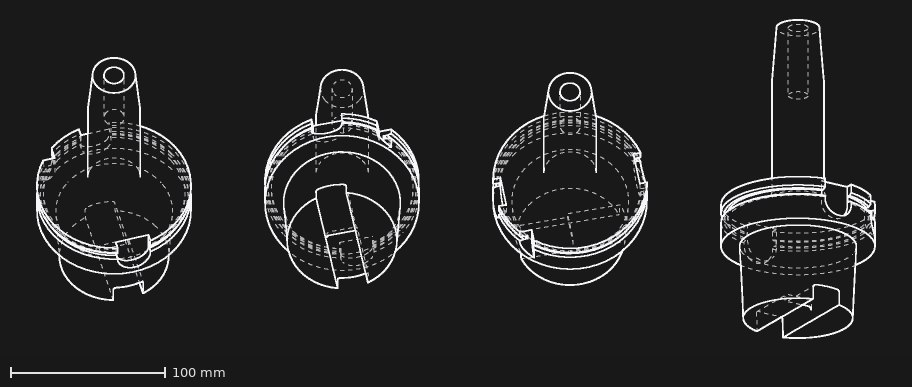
import cadquery as cq
import math


shank_length = 50.0
shank_top_radius = 37.9
shank_bottom_radius = 35.6

flange_radius = 50.0
flange_height = 29.0
groove_center_z = 19.9
groove_floor_radius = 46.0
groove_shoulder_radius = 48.0
groove_floor_width = 4.0
groove_mouth_width = 6.6

neck_radius = 17.0
neck_fillet = 10.0
nose_top_z = 152.4
nose_length = 38.0
nose_half_angle = 4.5
bore_diameter = 13.0
bore_depth = 47.0

slot_width = 20.0
wide_slot_width = 22.0
slot_bottom_z = 5.0
slot_floor_x = 44.0
index_notch_offset = 31.2

keyway_width = 20.0
keyway_height = 10.0
deep_keyway_height = 15.0
keyway_corner_radius = 2.0


def body():
    """Revolve the outer outline of the holder about Z."""
    nose_bottom_z = nose_top_z - nose_length
    nose_top_radius = neck_radius - nose_length * math.tan(math.radians(nose_half_angle))
    fillet_foot_radius = neck_radius + neck_fillet
    fillet_top_z = flange_height + neck_fillet
    arc_reach = neck_fillet * (1 - math.sqrt(0.5))
    half_floor = groove_floor_width / 2
    half_mouth = groove_mouth_width / 2
    outline = (
        cq.Workplane("YZ")
        .moveTo(0, -shank_length)
        .lineTo(shank_bottom_radius, -shank_length)
        .lineTo(shank_top_radius, 0)
        .lineTo(flange_radius, 0)
        .lineTo(flange_radius, groove_center_z - half_mouth)
        .lineTo(groove_shoulder_radius, groove_center_z - half_floor)
        .lineTo(groove_floor_radius, groove_center_z - half_floor)
        .lineTo(groove_floor_radius, groove_center_z + half_floor)
        .lineTo(groove_shoulder_radius, groove_center_z + half_floor)
        .lineTo(flange_radius, groove_center_z + half_mouth)
        .lineTo(flange_radius, flange_height)
        .lineTo(fillet_foot_radius, flange_height)
        .threePointArc(
            (neck_radius + arc_reach, flange_height + arc_reach),
            (neck_radius, fillet_top_z),
        )
        .lineTo(neck_radius, nose_bottom_z)
        .lineTo(nose_top_radius, nose_top_z)
        .lineTo(0, nose_top_z)
        .close()
    )
    return outline.revolve(360, (0, 0, 0), (0, 1, 0))


def tool_bore():
    """Blind bore from the nose end."""
    return (
        cq.Workplane("XY", origin=(0, 0, nose_top_z - bore_depth))
        .circle(bore_diameter / 2)
        .extrude(bore_depth)
    )


def flange_slot(width, center_y, floor_x, side):
    """Round-bottomed slot open at the flange top, from floor_x outward on one X side."""
    radius = width / 2
    arc_center_z = slot_bottom_z + radius
    profile = (
        cq.Workplane("YZ", origin=(side * floor_x, 0, 0))
        .moveTo(center_y - radius, flange_height)
        .lineTo(center_y - radius, arc_center_z)
        .threePointArc((center_y, slot_bottom_z), (center_y + radius, arc_center_z))
        .lineTo(center_y + radius, flange_height)
        .close()
    )
    return profile.extrude(side * (flange_radius - floor_x))


def keyway(height, side):
    """Drive keyway from the shank axis outward on one X side, with rounded upper corners."""
    return (
        cq.Workplane("XY")
        .box(shank_top_radius, keyway_width, height, centered=(False, True, False))
        .edges("|X and >Z")
        .fillet(keyway_corner_radius)
        .translate((-shank_top_radius if side < 0 else 0, 0, -shank_length))
    )


result = body().cut(tool_bore())

result = result.cut(flange_slot(slot_width, 0, slot_floor_x, -1))
result = result.cut(flange_slot(wide_slot_width, 0, slot_floor_x, 1))
notch_center_y = -index_notch_offset - slot_width / 2
result = result.cut(flange_slot(slot_width, notch_center_y, index_notch_offset, -1))

result = result.cut(keyway(keyway_height, -1))
result = result.cut(keyway(deep_keyway_height, 1))